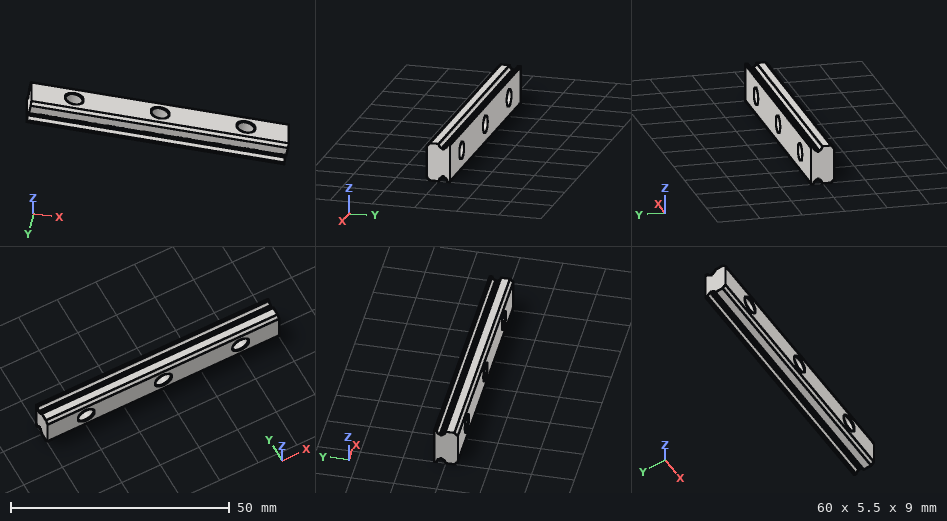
import cadquery as cq
import math

length = 60.0
depth = 5.5
height = 9.0
front_chamfer = 0.8
back_chamfer = 0.1

groove_radius = 1.0
groove_from_back = 1.6
relief_half_width = 0.3

hole_count = 3
hole_pitch = length / hole_count
hole_diameter = 4.0
hole_chamfer = 0.2

front_y = -depth / 2
groove_y = depth / 2 - groove_from_back


def make_body():
    """Rectangular bar with its long edges chamfered, deeper at the front."""
    bar = cq.Workplane("XY").box(length, depth, height)
    bar = bar.faces("<Y").edges("|X").chamfer(front_chamfer)
    return bar.faces(">Y").edges("|X").chamfer(back_chamfer)


def make_groove(face_z):
    """Half-round groove cutter with a 45 degree V relief, centred on a face at face_z."""
    round_part = (
        cq.Workplane("YZ", origin=(-length / 2, 0, 0))
        .center(groove_y, face_z)
        .circle(groove_radius)
        .extrude(length)
    )
    relief_start = math.sqrt(groove_radius**2 - relief_half_width**2)
    relief_tip = relief_start + relief_half_width
    relief = (
        cq.Workplane("YZ", origin=(-length / 2, 0, 0))
        .center(groove_y, face_z)
        .polyline([
            (0, relief_tip),
            (relief_half_width, relief_start),
            (relief_half_width, -relief_start),
            (0, -relief_tip),
            (-relief_half_width, -relief_start),
            (-relief_half_width, relief_start),
        ])
        .close()
        .extrude(length)
    )
    return round_part.union(relief)


def make_hole(x):
    """Through hole along Y with a small chamfer at the front face."""
    radius = hole_diameter / 2
    profile = [
        (0, 0),
        (radius + hole_chamfer, 0),
        (radius, hole_chamfer),
        (radius, depth),
        (0, depth),
    ]
    return (
        cq.Workplane("XY", origin=(x, front_y, 0))
        .polyline(profile)
        .close()
        .revolve(360, (0, 0, 0), (0, 1, 0))
    )


result = make_body()
for face_z in (-height / 2, height / 2):
    result = result.cut(make_groove(face_z))
for index in range(hole_count):
    hole_x = (index - (hole_count - 1) / 2) * hole_pitch
    result = result.cut(make_hole(hole_x))